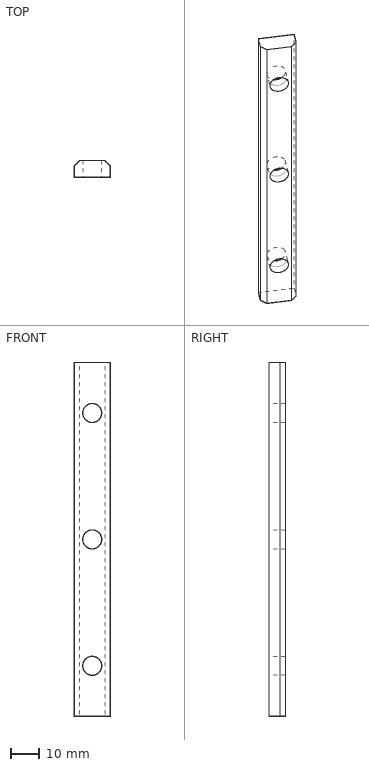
import cadquery as cq

length = 126.0
width = 13.0
thickness = 6.0
back_chamfer = 2.0

hole_diameter = 6.7
hole_pitch = 45.0
hole_count = 3

bar = cq.Workplane("XY").box(width, thickness, length)
bar = bar.faces(">Y").edges("|Z").chamfer(back_chamfer)

holes = (
    cq.Workplane("XZ")
    .rarray(1.3, hole_pitch, 1, hole_count)
    .circle(hole_diameter / 2)
    .extrude(thickness, both=True)
)

result = bar.cut(holes)